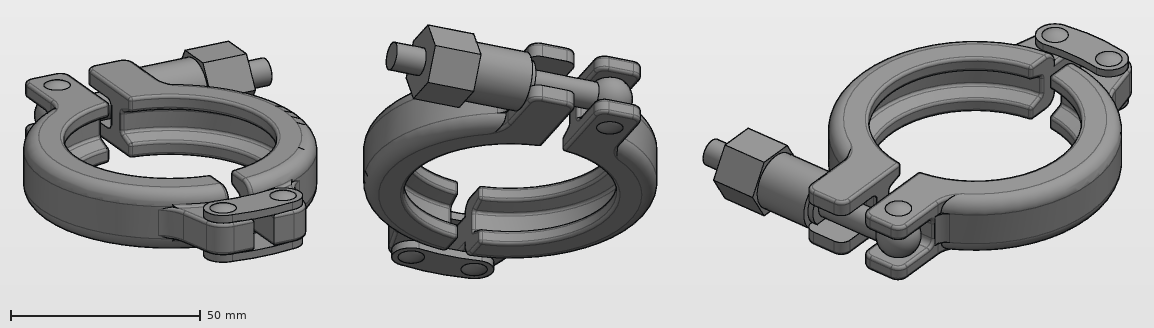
import cadquery as cq
import math

ring_radius = 38.75
ring_half_height = 8.6
ring_edge_fillet = 4.0
bore_radius = 28.1
half_gap = 3.0
edge_fillet = 0.9

groove_floor_radius = 32.7
groove_mouth_half_width = 4.6
groove_angle = 20.0

lug_end_x = -52.8
lug_side_y = 16.0
lug_corner_radius = 3.0
lug_root_radius = 33.5
lug_face_blend = 8.0
lug_wall_blend = 4.0
slot_half_width = 4.3
slot_end_x = -38.2
slot_corner_radius = 2.0

pin_radius = 3.5
pin_dome_height = 1.05
hinge_pin_x = 45.87
hinge_pin_y = 9.0
ear_half_height = 4.5
ear_radius = 6.0
ear_taper = 13.5
ear_blend = 10.0

link_thickness = 2.2
link_end_radius = 5.2
link_bow = 0.8

bolt_x = -45.1
bolt_radius = 3.75
bolt_end_y = 53.03
ball_y = -9.5
ball_radius = 6.0
nut_flats = 2 * ring_half_height
nut_hex_top_y = 44.7
nut_hex_bottom_y = 31.6
nut_sleeve_radius = 7.95
nut_spigot_radius = 6.2
nut_spigot_length = 1.7

wall_half_height = ring_half_height - ring_edge_fillet


def arc_middle(centre, start, end):
    """Point halfway along the shorter arc from start to end around the centre."""
    across = [(s + e) / 2 - c for s, e, c in zip(start, end, centre)]
    stretch = math.dist(start, centre) / math.hypot(*across)
    return tuple(c + a * stretch for c, a in zip(centre, across))


def concave_blend(line_offset, slope, circle_radius, blend_radius):
    """Start, middle and end of an arc tangent to a sloping line and to a circle about the origin.

    The line falls by `slope` degrees towards +X and passes the origin at `line_offset`.
    """
    angle = math.radians(slope)
    normal = (math.sin(angle), math.cos(angle))
    along = (math.cos(angle), -math.sin(angle))
    reach = circle_radius + blend_radius
    lift = line_offset + blend_radius
    run = math.sqrt(reach**2 - lift**2)
    centre = [lift * n + run * a for n, a in zip(normal, along)]
    start = tuple(c - blend_radius * n for c, n in zip(centre, normal))
    end = tuple(c * circle_radius / reach for c in centre)
    return start, arc_middle(centre, start, end), end


def flip_x(point):
    """Mirrors a point to the other side of X = 0."""
    return (-point[0], point[1])


def plate(outline, half_height):
    """Extrudes a closed XY outline symmetrically about Z = 0."""
    return outline.extrude(half_height, both=True)


def domed_pin(x, y, half_length):
    """Upright pin whose two ends bulge as shallow spherical domes."""
    dome_radius = (pin_radius**2 + pin_dome_height**2) / (2 * pin_dome_height)
    tip = half_length + pin_dome_height
    arc_x = pin_radius / 2
    arc_z = tip - dome_radius + math.sqrt(dome_radius**2 - arc_x**2)
    return (
        cq.Workplane("XZ")
        .moveTo(0, -tip)
        .threePointArc((arc_x, -arc_z), (pin_radius, -half_length))
        .lineTo(pin_radius, half_length)
        .threePointArc((arc_x, arc_z), (0, tip))
        .close()
        .revolve(360, (0, 0, 0), (0, 1, 0))
        .translate((x, y, 0))
    )


def pin_hole(x, y):
    """Cutter for an upright pin that passes through."""
    return cq.Workplane("XY").circle(pin_radius).extrude(2 * ring_half_height, both=True).translate((x, y, 0))


def bore_and_groove():
    """Bore with the V groove that widens towards it, as one revolved cutter."""
    floor_half_width = (
        groove_mouth_half_width
        - (groove_floor_radius - bore_radius) * math.tan(math.radians(groove_angle))
    )
    beyond = 2 * ring_half_height
    cutter = (
        cq.Workplane("XZ")
        .moveTo(0, -beyond)
        .lineTo(bore_radius, -beyond)
        .lineTo(bore_radius, -groove_mouth_half_width)
        .lineTo(groove_floor_radius, -floor_half_width)
        .lineTo(groove_floor_radius, floor_half_width)
        .lineTo(bore_radius, groove_mouth_half_width)
        .lineTo(bore_radius, beyond)
        .lineTo(0, beyond)
        .close()
        .revolve(360, (0, 0, 0), (0, 1, 0))
    )
    floor_edges = cutter.edges(cq.selectors.RadiusNthSelector(-1))
    return floor_edges.fillet(edge_fillet)


def half_ring():
    """Upper half of the ring, with rounded edges around its gap faces and its two lips."""
    above_gap = (
        cq.Workplane("XY")
        .box(4 * ring_radius, 2 * ring_radius, 4 * ring_half_height)
        .translate((0, half_gap + ring_radius, 0))
    )
    half = (
        cq.Workplane("XY")
        .circle(ring_radius)
        .extrude(ring_half_height, both=True)
        .edges()
        .fillet(ring_edge_fillet)
        .cut(bore_and_groove())
        .intersect(above_gap)
    )
    gap_edges = half.faces("<Y").edges()
    lip_edges = half.edges(cq.selectors.RadiusNthSelector(0))
    return gap_edges.add(lip_edges).fillet(edge_fillet)


def slot():
    """Slot through the lug for the swing bolt, open at the end and both sides of the lug."""
    length = slot_end_x - lug_end_x
    return (
        cq.Workplane("XY")
        .box(2 * length, 2 * lug_side_y, 2 * slot_half_width)
        .edges("|Y and >X")
        .fillet(slot_corner_radius)
        .translate((lug_end_x, lug_side_y, 0))
    )


def lug(rounded_slot):
    """Slotted clamping lug that blends into the flat faces of the ring, its slot edges rounded or sharp."""
    face_radius = ring_radius - ring_edge_fillet + edge_fillet
    start, middle, end = map(flip_x, concave_blend(lug_side_y, 0, face_radius, lug_face_blend))
    outline = (
        cq.Workplane("XY")
        .moveTo(lug_end_x, half_gap)
        .lineTo(lug_end_x, lug_side_y)
        .lineTo(*start)
        .threePointArc(middle, end)
        .lineTo(end[0] / 2, end[1] / 2)
        .lineTo(-bore_radius / 2, half_gap)
        .close()
    )
    block = plate(outline, ring_half_height).edges("|Z and <X").fillet(lug_corner_radius)
    if rounded_slot:
        block = block.cut(slot()).faces("|Z").edges().fillet(edge_fillet)
    else:
        block = block.faces("|Z").edges().fillet(edge_fillet).cut(slot())
    inside_ring = cq.Workplane("XY").circle(lug_root_radius).extrude(2 * ring_half_height, both=True)
    return block.cut(inside_ring)


def lug_wall_filler():
    """Concave blend between the lug side and the upright wall of the ring."""
    start, middle, end = map(flip_x, concave_blend(lug_side_y, 0, ring_radius, lug_wall_blend))
    outline = (
        cq.Workplane("XY")
        .moveTo(*start)
        .threePointArc(middle, end)
        .lineTo(end[0], (half_gap + lug_side_y) / 2)
        .close()
    )
    return plate(outline, wall_half_height)


def ear_outline():
    """Outline around a hinge pin, with a sloping side that blends into the ring wall."""
    angle = math.radians(ear_taper)
    line_offset = hinge_pin_x * math.sin(angle) + hinge_pin_y * math.cos(angle) + ear_radius
    start, middle, end = concave_blend(line_offset, ear_taper, ring_radius, ear_blend)

    def on_ear_arc(direction):
        return (
            hinge_pin_x + ear_radius * math.cos(direction),
            hinge_pin_y + ear_radius * math.sin(direction),
        )

    arc_start = math.pi / 2 - angle
    return (
        cq.Workplane("XY")
        .moveTo((bore_radius + ring_radius) / 2, half_gap)
        .lineTo(*end)
        .threePointArc(middle, start)
        .lineTo(*on_ear_arc(arc_start))
        .threePointArc(on_ear_arc(arc_start / 2), on_ear_arc(0))
        .lineTo(hinge_pin_x + ear_radius, half_gap)
        .close()
    )


def hinge_ear():
    """Ear around a hinge pin, with rounded face edges."""
    return plate(ear_outline(), ear_half_height).faces("|Z").edges().fillet(edge_fillet)


def ear_fillet():
    """Fillets between the two flat faces of the ear and the rounded outside of the ring."""
    tube_radius = ring_radius - ring_edge_fillet
    reach = ring_edge_fillet + edge_fillet
    centre_z = ear_half_height + edge_fillet
    rise = centre_z - wall_half_height
    run = math.sqrt(reach**2 - rise**2)
    centre = (tube_radius + run, centre_z)
    share = ring_edge_fillet / reach
    top = (tube_radius + run * share, wall_half_height + rise * share)
    bottom = (centre[0], ear_half_height)
    collar = (
        cq.Workplane("XZ")
        .moveTo(*top)
        .threePointArc(arc_middle(centre, top, bottom), bottom)
        .lineTo(bottom[0], 0)
        .lineTo(tube_radius, 0)
        .close()
        .revolve(360, (0, 0, 0), (0, 1, 0))
    )
    collar = collar.union(collar.mirror("XY"))
    return collar.intersect(plate(ear_outline().offset2D(-edge_fillet), ring_half_height))


def clamp_half(rounded_slot):
    """Upper half of the clamp, on the +Y side of the gap."""
    pieces = [lug(rounded_slot), lug_wall_filler(), hinge_ear(), ear_fillet()]
    half = half_ring()
    for piece in pieces:
        half = half.union(piece)
    return half


def link():
    """Two bowed plates joined by the two hinge pins, as one solid."""
    plate_half_height = ear_half_height + link_thickness
    inner_x = hinge_pin_x - link_end_radius
    outer_x = hinge_pin_x + link_end_radius
    outline = (
        cq.Workplane("XY")
        .moveTo(inner_x, -hinge_pin_y)
        .threePointArc((inner_x + link_bow, 0), (inner_x, hinge_pin_y))
        .threePointArc((hinge_pin_x, hinge_pin_y + link_end_radius), (outer_x, hinge_pin_y))
        .threePointArc((outer_x + link_bow, 0), (outer_x, -hinge_pin_y))
        .threePointArc((hinge_pin_x, -hinge_pin_y - link_end_radius), (inner_x, -hinge_pin_y))
        .close()
    )
    between_plates = cq.Workplane("XY").box(4 * hinge_pin_x, 4 * hinge_pin_x, 2 * ear_half_height)
    plates = plate(outline, plate_half_height).cut(between_plates)
    for y in (hinge_pin_y, -hinge_pin_y):
        plates = plates.union(domed_pin(hinge_pin_x, y, plate_half_height))
    return plates


def along_bolt(section, y_from, y_to):
    """Extrudes a section about the bolt axis between two Y positions."""
    return section.extrude(y_to - y_from).translate((0, y_from, 0))


def swing_bolt():
    """Shank with the ball at its foot, the cross pin through the ball, and the nut."""
    axis = cq.Plane(origin=(bolt_x, 0, 0), xDir=(1, 0, 0), normal=(0, 1, 0))
    ball = (
        cq.Workplane("XY")
        .sphere(ball_radius)
        .intersect(cq.Workplane("XY").box(2 * ball_radius, 2 * ball_radius, 2 * slot_half_width))
        .translate((bolt_x, ball_y, 0))
    )
    pin = domed_pin(bolt_x, ball_y, ring_half_height)
    nut_corners = nut_flats / math.cos(math.pi / 6)
    spigot_end_y = lug_side_y - nut_spigot_length
    shank = along_bolt(cq.Workplane(axis).circle(bolt_radius), ball_y, bolt_end_y)
    hexagon = along_bolt(cq.Workplane(axis).polygon(6, nut_corners), nut_hex_bottom_y, nut_hex_top_y)
    sleeve = along_bolt(cq.Workplane(axis).circle(nut_sleeve_radius), lug_side_y, nut_hex_bottom_y)
    spigot = along_bolt(cq.Workplane(axis).circle(nut_spigot_radius), spigot_end_y, lug_side_y)
    return shank.union(ball).union(pin).union(hexagon).union(sleeve).union(spigot)


bolt = swing_bolt()

upper_half = clamp_half(rounded_slot=False).cut(pin_hole(hinge_pin_x, hinge_pin_y)).cut(bolt)

lower_half = clamp_half(rounded_slot=True).mirror("XZ").cut(pin_hole(bolt_x, ball_y)).union(link())

result = cq.Compound.makeCompound([upper_half.val(), lower_half.val(), bolt.val()])